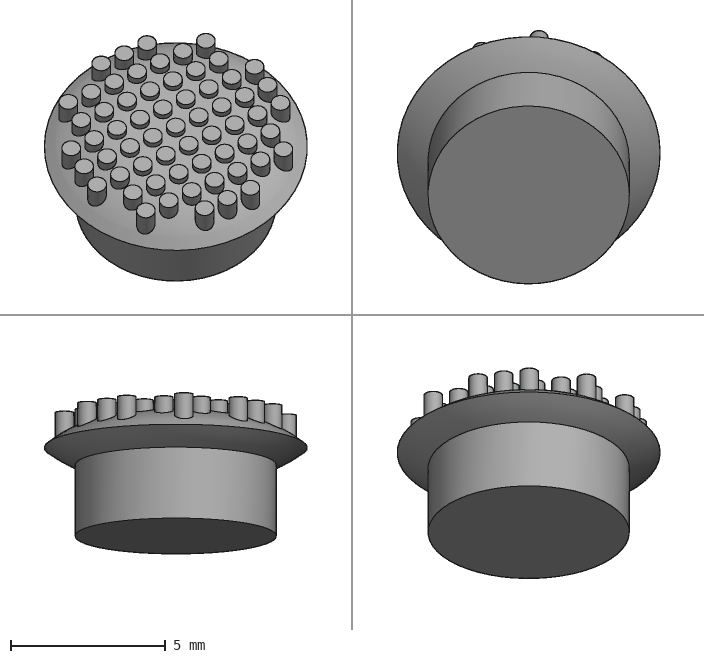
import cadquery as cq
import math

rim_diameter = 8.5
stem_diameter = 6.5
stem_height = 2.33
rim_height = 2.9
crown_height = 3.8
crown_flat_radius = 1.69
underside_bulge = 0.03

pin_diameter = 0.6
pin_pitch = 0.85
pin_top = 4.0
pin_root = rim_height
outer_row = 4
short_row_reach = 1
inner_row_reach = 3


def arc_midpoint(start, end, bulge):
    """Middle of an arc bowed by `bulge` to the right of the way from start to end."""
    dx = end[0] - start[0]
    dz = end[1] - start[1]
    chord = math.hypot(dx, dz)
    return (
        (start[0] + end[0]) / 2 + bulge * dz / chord,
        (start[1] + end[1]) / 2 - bulge * dx / chord,
    )


def make_body():
    """Stem, flared rim and a dome that runs smoothly into a flat crown."""
    rim_radius = rim_diameter / 2
    stem_radius = stem_diameter / 2
    stem_edge = (stem_radius, stem_height)
    rim_edge = (rim_radius, rim_height)

    dome_run = rim_radius - crown_flat_radius
    dome_drop = crown_height - rim_height
    dome_radius = (dome_run**2 + dome_drop**2) / (2 * dome_drop)
    half_angle = math.asin(dome_run / dome_radius) / 2
    dome_middle = (
        crown_flat_radius + dome_radius * math.sin(half_angle),
        crown_height - dome_radius * (1 - math.cos(half_angle)),
    )

    return (
        cq.Workplane("XZ")
        .lineTo(stem_radius, 0)
        .lineTo(*stem_edge)
        .threePointArc(arc_midpoint(stem_edge, rim_edge, underside_bulge), rim_edge)
        .threePointArc(dome_middle, (crown_flat_radius, crown_height))
        .lineTo(0, crown_height)
        .close()
        .revolve(360, (0, 0, 0), (0, 1, 0))
    )


def pin_centres():
    """Square block of pins plus a short row along each of its four sides."""
    indices = range(-outer_row, outer_row + 1)
    centres = []
    for column in indices:
        for row in indices:
            farther = max(abs(column), abs(row))
            nearer = min(abs(column), abs(row))
            if farther <= inner_row_reach or nearer <= short_row_reach:
                centres.append((column * pin_pitch, row * pin_pitch))
    return centres


def make_pins():
    """Flat-topped round pins, all ending at the same height."""
    return (
        cq.Workplane("XY", origin=(0, 0, pin_root))
        .pushPoints(pin_centres())
        .circle(pin_diameter / 2)
        .extrude(pin_top - pin_root)
    )


result = make_body().union(make_pins())